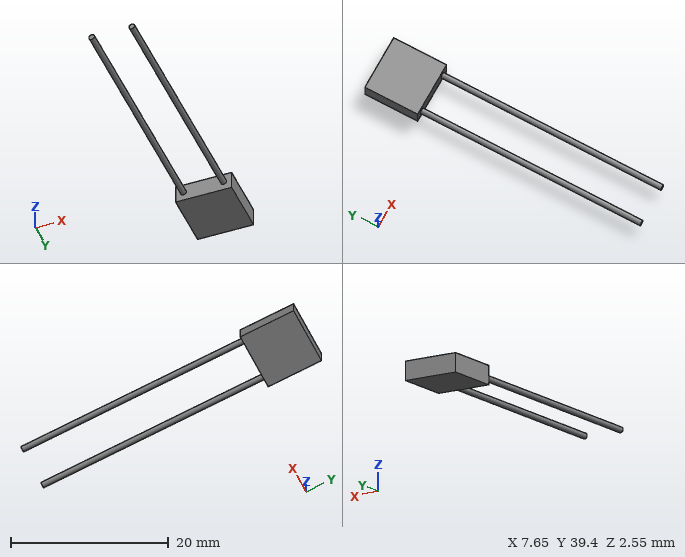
import cadquery as cq

total_length = 39.37
body_width = 7.65
body_length = 7.65
body_height = 2.55

lead_diameter = 0.8
lead_spacing = 5.47
lead_length = total_length - body_length



def make_housing():
    """Plain rectangular block behind the front face."""
    return cq.Workplane("XY").box(body_width, body_length, body_height, centered=(True, False, True))


def make_lead(x):
    """Straight round wire that starts on the front face and runs toward -Y."""
    return cq.Workplane("XZ").center(x, 0).circle(lead_diameter / 2).extrude(lead_length)


housing = make_housing()
leads = [make_lead(side * lead_spacing / 2) for side in (-1, 1)]

result = cq.Compound.makeCompound([housing.val(), *[lead.val() for lead in leads]])